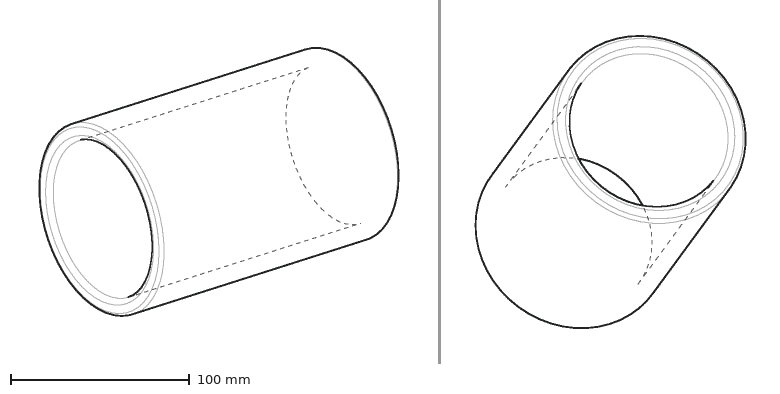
import cadquery as cq

length = 170.0
outer_diameter = 112.0
bore_diameter = 92.0
outer_edge_radius = 2.0
bore_edge_radius = 3.0

outer_body = (
    cq.Workplane("XZ", origin=(0, length / 2, 0))
    .circle(outer_diameter / 2)
    .extrude(length)
    .faces("<Y or >Y")
    .edges()
    .fillet(outer_edge_radius)
)

sleeve = outer_body.faces("<Y").workplane().hole(bore_diameter)
smallest_circles = cq.selectors.RadiusNthSelector(0)
result = sleeve.faces("<Y or >Y").edges(smallest_circles).fillet(bore_edge_radius)